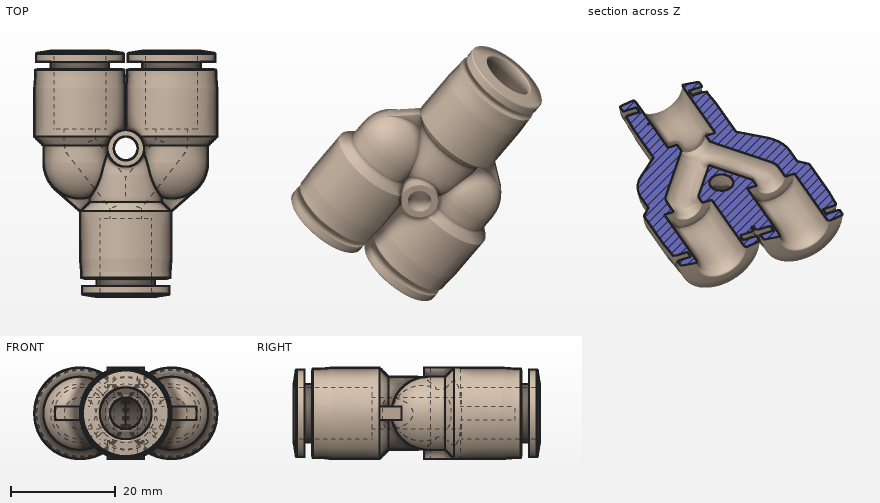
import cadquery as cq
import math


OVERALL_LENGTH = 47.1
BODY_DIA = 17.5
BODY_RADIUS = BODY_DIA / 2
BRANCH_OFFSET = BODY_RADIUS
EYE_TO_SINGLE_END = 28.4
SINGLE_END_Y = -EYE_TO_SINGLE_END
TWIN_END_Y = OVERALL_LENGTH - EYE_TO_SINGLE_END

COLLAR_RADIUS = 8.4
COLLAR_EDGE_CHAMFER = 0.2
COLLAR_FACE_RADIUS = 5.35
COLLAR_DOME_RISE = 0.45
COLLAR_DEPTH = 2.15
COLLAR_STEM_RADIUS = 5.6

BODY_START = 3.5
BODY_NOSE_RADIUS = 8.55
BODY_NOSE_FACE_RADIUS = 7.8
BODY_NOSE_BEVEL_DEPTH = 0.2
NOSE_DEPTH = 4.75
TAPER_DEPTH = 7.35
CONE_START = 16.4
NECK_RADIUS = 7.0
CONE_END = CONE_START + BODY_RADIUS - NECK_RADIUS
SINGLE_NECK_END = 23.4
TWIN_NECK_END = 21.4

TUBE_RADIUS = 4.95
MOUTH_LIP_RADIUS = 0.3
MOUTH_LEAD_IN_DEPTH = 1.15
TUBE_DEPTH = 15.0
CHANNEL_RADIUS = 3.0
CHANNEL_BEND_DEPTH = 18.0

EYE_RADIUS = 3.5
EYE_HOLE_RADIUS = 2.25

RIB_THICKNESS = 2.6
RIB_OUTER_X = 13.55
RIB_OUTER_DEPTH = 20.6
WEB_WIDTH = 2.0
WEB_THICKNESS = RIB_THICKNESS


def port_body(neck_end):
    """Solid collar, body and round-ended neck along +Y, with the port end at the origin."""
    collar_shoulder = COLLAR_DOME_RISE + COLLAR_EDGE_CHAMFER
    nose_shoulder = BODY_START + BODY_NOSE_BEVEL_DEPTH
    arc_middle = NECK_RADIUS * math.sqrt(0.5)
    return (
        cq.Workplane("XY")
        .moveTo(0, 0)
        .lineTo(COLLAR_FACE_RADIUS, 0)
        .lineTo(COLLAR_RADIUS - COLLAR_EDGE_CHAMFER, COLLAR_DOME_RISE)
        .lineTo(COLLAR_RADIUS, collar_shoulder)
        .lineTo(COLLAR_RADIUS, COLLAR_DEPTH)
        .lineTo(COLLAR_STEM_RADIUS, COLLAR_DEPTH)
        .lineTo(COLLAR_STEM_RADIUS, BODY_START)
        .lineTo(BODY_NOSE_FACE_RADIUS, BODY_START)
        .lineTo(BODY_NOSE_RADIUS, nose_shoulder)
        .lineTo(BODY_NOSE_RADIUS, NOSE_DEPTH)
        .lineTo(BODY_RADIUS, TAPER_DEPTH)
        .lineTo(BODY_RADIUS, CONE_START)
        .lineTo(NECK_RADIUS, CONE_END)
        .lineTo(NECK_RADIUS, neck_end)
        .threePointArc((arc_middle, neck_end + arc_middle), (0, neck_end + NECK_RADIUS))
        .close()
        .revolve(360, (0, 0), (0, 1))
    )


def tube_bore():
    """Tube socket with a rounded lip and a slight lead-in, along +Y from the port end."""
    lead_in_radius = COLLAR_FACE_RADIUS - MOUTH_LIP_RADIUS
    lip_middle = MOUTH_LIP_RADIUS * (1 - math.sqrt(0.5))
    return (
        cq.Workplane("XY")
        .moveTo(0, 0)
        .lineTo(COLLAR_FACE_RADIUS, 0)
        .threePointArc((lead_in_radius + lip_middle, lip_middle), (lead_in_radius, MOUTH_LIP_RADIUS))
        .lineTo(TUBE_RADIUS, MOUTH_LEAD_IN_DEPTH)
        .lineTo(TUBE_RADIUS, TUBE_DEPTH)
        .lineTo(0, TUBE_DEPTH)
        .close()
        .revolve(360, (0, 0), (0, 1))
    )


def at_single_port(shape):
    return shape.translate((0, SINGLE_END_Y, 0))


def at_twin_port(shape, side):
    turned = shape.rotate((0, 0, 0), (0, 0, 1), 180)
    return turned.translate((side * BRANCH_OFFSET, TWIN_END_Y, 0))


def side_ribs():
    """Flat plate whose outer corners bridge the single body and the twin necks."""
    rib_inner_y = SINGLE_END_Y + CONE_START
    rib_outer_y = SINGLE_END_Y + RIB_OUTER_DEPTH
    return (
        cq.Workplane("XY")
        .polyline([
            (-BODY_RADIUS, rib_inner_y),
            (BODY_RADIUS, rib_inner_y),
            (RIB_OUTER_X, rib_outer_y),
            (-RIB_OUTER_X, rib_outer_y),
        ])
        .close()
        .extrude(RIB_THICKNESS / 2, both=True)
    )


def twin_web():
    """Narrow web that joins the twin bodies along their line of contact."""
    web_length = TWIN_END_Y - NOSE_DEPTH
    return (
        cq.Workplane("XY")
        .box(WEB_WIDTH, web_length, WEB_THICKNESS, centered=(True, False, True))
    )


def channel_run(start, finish):
    """Straight round stretch of channel between two points."""
    path = finish - start
    cylinder = cq.Solid.makeCylinder(CHANNEL_RADIUS, path.Length, start, path)
    return cq.Workplane("XY").add(cylinder)


def flow_channel(side):
    """Round-cornered channel from the single socket floor to one twin socket floor."""
    branch_x = side * BRANCH_OFFSET
    single_floor = cq.Vector(0, SINGLE_END_Y + TUBE_DEPTH, 0)
    single_bend = cq.Vector(0, SINGLE_END_Y + CHANNEL_BEND_DEPTH, 0)
    twin_bend = cq.Vector(branch_x, TWIN_END_Y - CHANNEL_BEND_DEPTH, 0)
    twin_floor = cq.Vector(branch_x, TWIN_END_Y - TUBE_DEPTH, 0)
    channel = channel_run(single_floor, single_bend)
    channel = channel.union(channel_run(single_bend, twin_bend))
    channel = channel.union(channel_run(twin_bend, twin_floor))
    for bend in (single_bend, twin_bend):
        corner = cq.Workplane("XY").sphere(CHANNEL_RADIUS).translate(bend)
        channel = channel.union(corner)
    return channel


def eye_cylinder(radius):
    return cq.Workplane("XY").circle(radius).extrude(BODY_RADIUS, both=True)


result = at_single_port(port_body(SINGLE_NECK_END))
for side in (-1, 1):
    result = result.union(at_twin_port(port_body(TWIN_NECK_END), side))
result = result.union(twin_web()).union(side_ribs()).union(eye_cylinder(EYE_RADIUS))

result = result.cut(at_single_port(tube_bore()))
for side in (-1, 1):
    result = result.cut(at_twin_port(tube_bore(), side)).cut(flow_channel(side))
result = result.cut(eye_cylinder(EYE_HOLE_RADIUS))